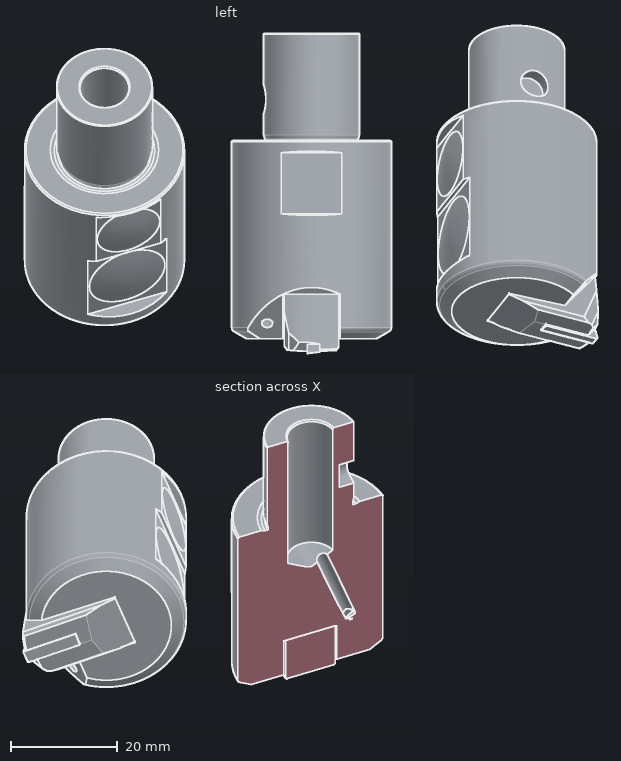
import cadquery as cq
import math


def tan_deg(angle):
    return math.tan(math.radians(angle))


HEAD_RADIUS = 15.0
HEAD_LENGTH = 37.2
HEAD_TOP_CHAMFER = 0.3
NOSE_RADIUS = 12.2
NOSE_ANGLE = 30.0
NOSE_FILLET = 1.0

SHANK_RADIUS = 9.0
SHANK_LENGTH = 20.0
SHANK_TOP_CHAMFER = 0.15

NECK_RADIUS = 8.8
NECK_TAPER_TOP = 1.05
NECK_TAPER_BOTTOM = 0.3
UNDERCUT_DEPTH = 0.3
UNDERCUT_FLOOR_RADIUS = 9.4
UNDERCUT_RIM_RADIUS = 10.15

BORE_RADIUS = 4.6
BORE_CHAMFER_WIDTH = 0.18
BORE_CHAMFER_DEPTH = 0.4
BORE_DEPTH = 30.0
DRILL_POINT_ANGLE = 31.0

DRIVE_HOLE_RADIUS = 2.75
DRIVE_HOLE_DEPTH = 3.0
DRIVE_HOLE_Z = 7.65

FLAT_WALL_SLOPE = 15.0
WRENCH_FLAT_X = 13.9
WRENCH_FLAT_TOP = -2.35
WRENCH_FLAT_BOTTOM = -13.8
DIAL_FLAT_X = 13.55
DIAL_FLAT_TOP = -1.1
DIAL_FLAT_BOTTOM = -15.1
CLAMP_FLAT_X = 12.8
CLAMP_FLAT_TOP = -15.25
CLAMP_FLAT_BOTTOM = -32.2

DIAL_HEAD_RADIUS = 6.2
DIAL_HEAD_HEIGHT = 0.95
CLAMP_HEAD_RADIUS = 7.5
CLAMP_HEAD_HEIGHT = 1.1
CLAMP_HEAD_Z = -23.55

CARTRIDGE_WIDTH = 10.28
SLOT_CLEARANCE = 0.28
SLOT_TOP = -28.9
SLOT_BACK_X = 3.75
RELIEF_TOP = -27.6
RELIEF_ANGLE = 52.0

CARTRIDGE_FACE_X = -14.65
CARTRIDGE_FACE_RADIUS = 15.0
CARTRIDGE_FACE_LEAN = 6.0
CARTRIDGE_BOTTOM_SLOPE = 2.6
CARTRIDGE_BACK_SLOPE = 15.0
CARTRIDGE_LOW_X = -15.75
CARTRIDGE_LOW_Z = -39.65
CARTRIDGE_SIDE_Z = -38.75
CARTRIDGE_SIDE_INSET = 0.55
CARTRIDGE_SIDE_DROP = 0.7
CARTRIDGE_TOE_CHAMFER = 0.35
BACK_SLOPE_X = -5.0
BACK_SLOPE_Z = -39.55

GULLET_EDGE = (-14.8, 4.26, -36.1)
GULLET_NORMAL = (-1.0, 0.69, -0.4)
GULLET_SIDE_NORMAL = (-0.66, 1.7, -0.26)
TIP_NOTCH_EDGE = (-15.41, 2.36, -37.85)
TIP_NOTCH_NORMAL = (-1.0, 0.1, -0.78)

INSERT_TIP_X = -16.06
INSERT_TIP_Z = -39.98
INSERT_RAKE_Y = 0.83
INSERT_THICKNESS = 2.38
INSERT_LENGTH = 10.5
INSERT_HEIGHT = 1.75
INSERT_LEAN = 14.0
INSERT_CLEARANCE_ANGLE = 7.0
INSERT_NOSE_RADIUS = 0.3

FEED_START = (-0.37, 2.43)
FEED_RADIUS = 1.15
OUTLET_RADIUS = 1.0
OUTLET_Y = 8.3
OUTLET_Z = -34.3
OUTLET_LENGTH = 11.0

OVERRUN = 1.0
OVERSIZE = 150.0


def half_space(point, normal):
    """Large block that fills the side of a plane its normal points to."""
    return cq.Workplane(cq.Plane(origin=point, normal=normal)).rect(OVERSIZE, OVERSIZE).extrude(OVERSIZE)


def drilling(start, direction, radius, length):
    return cq.Workplane(obj=cq.Solid.makeCylinder(radius, length, cq.Vector(*start), cq.Vector(*direction)))


def relief_x(z):
    """X of the sloping relief plane at height z."""
    return -HEAD_RADIUS + (RELIEF_TOP - z) / tan_deg(RELIEF_ANGLE)


def head_blank():
    cone_top = -HEAD_LENGTH + (HEAD_RADIUS - NOSE_RADIUS) * tan_deg(NOSE_ANGLE)
    blank = (
        cq.Workplane("XZ")
        .moveTo(0, SHANK_LENGTH)
        .lineTo(SHANK_RADIUS - SHANK_TOP_CHAMFER, SHANK_LENGTH)
        .lineTo(SHANK_RADIUS, SHANK_LENGTH - SHANK_TOP_CHAMFER)
        .lineTo(SHANK_RADIUS, NECK_TAPER_TOP)
        .lineTo(NECK_RADIUS, NECK_TAPER_BOTTOM)
        .lineTo(NECK_RADIUS, -UNDERCUT_DEPTH)
        .lineTo(UNDERCUT_FLOOR_RADIUS, -UNDERCUT_DEPTH)
        .lineTo(UNDERCUT_RIM_RADIUS, 0)
        .lineTo(HEAD_RADIUS - HEAD_TOP_CHAMFER, 0)
        .lineTo(HEAD_RADIUS, -HEAD_TOP_CHAMFER)
        .lineTo(HEAD_RADIUS, cone_top)
        .lineTo(NOSE_RADIUS, -HEAD_LENGTH)
        .lineTo(0, -HEAD_LENGTH)
        .close()
        .revolve(360, (0, 0, 0), (0, 1, 0))
    )
    cone_rim = cq.selectors.NearestToPointSelector((HEAD_RADIUS, 0, cone_top))
    return blank.edges("%CIRCLE").edges(cone_rim).fillet(NOSE_FILLET)


def bore_bottom_z(radius):
    """Height of the drill-point cone of the bore at a given distance from the axis."""
    return SHANK_LENGTH - BORE_DEPTH - (BORE_RADIUS - radius) * tan_deg(DRILL_POINT_ANGLE)


def bore():
    return (
        cq.Workplane("XZ")
        .moveTo(0, SHANK_LENGTH)
        .lineTo(BORE_RADIUS + BORE_CHAMFER_WIDTH, SHANK_LENGTH)
        .lineTo(BORE_RADIUS, SHANK_LENGTH - BORE_CHAMFER_DEPTH)
        .lineTo(BORE_RADIUS, bore_bottom_z(BORE_RADIUS))
        .lineTo(0, bore_bottom_z(0))
        .close()
        .revolve(360, (0, 0, 0), (0, 1, 0))
    )


def flat_cutter(side, floor_x, top, bottom):
    """Material above a flat; side is +1 or -1 along X, top and bottom are the ends of its floor."""
    outer_x = HEAD_RADIUS + OVERRUN
    flare = (outer_x - floor_x) * tan_deg(FLAT_WALL_SLOPE)
    return (
        cq.Workplane("XZ")
        .polyline([
            (side * floor_x, top),
            (side * outer_x, top + flare),
            (side * outer_x, bottom - flare),
            (side * floor_x, bottom),
        ])
        .close()
        .extrude(HEAD_RADIUS, both=True)
    )


def slot_cutter():
    half_width = CARTRIDGE_WIDTH / 2 + SLOT_CLEARANCE
    slot = cq.Workplane("XY").box(OVERSIZE, 2 * half_width, OVERSIZE, centered=(False, True, False))
    return slot.translate((SLOT_BACK_X - OVERSIZE, 0, SLOT_TOP - OVERSIZE))


def relief_cutter():
    """Sloping cut that opens the +Y side of the slot for chips."""
    slot_side_y = -(CARTRIDGE_WIDTH / 2 + SLOT_CLEARANCE)
    outer_x = -HEAD_RADIUS - OVERRUN
    low_z = -HEAD_LENGTH - OVERRUN
    high_z = RELIEF_TOP + OVERRUN * tan_deg(RELIEF_ANGLE)
    return (
        cq.Workplane("XZ", origin=(0, slot_side_y, 0))
        .polyline([(outer_x, high_z), (outer_x, low_z), (relief_x(low_z), low_z)])
        .close()
        .extrude(-OVERSIZE)
    )


def coolant_drillings():
    """Outlet drilled square into the relief plane, and a feed that joins it to the bore."""
    sine = math.sin(math.radians(RELIEF_ANGLE))
    cosine = math.cos(math.radians(RELIEF_ANGLE))
    outlet_start = (relief_x(OUTLET_Z) - OVERRUN * sine, OUTLET_Y, OUTLET_Z - OVERRUN * cosine)
    outlet = drilling(outlet_start, (sine, 0, cosine), OUTLET_RADIUS, OUTLET_LENGTH + OVERRUN)

    outlet_end = cq.Vector(
        relief_x(OUTLET_Z) + OUTLET_LENGTH * sine, OUTLET_Y, OUTLET_Z + OUTLET_LENGTH * cosine
    )
    feed_start = cq.Vector(*FEED_START, bore_bottom_z(math.hypot(*FEED_START)))
    run = feed_start - outlet_end
    feed = drilling(outlet_end.toTuple(), run.toTuple(), FEED_RADIUS, run.Length + FEED_RADIUS)
    return outlet.union(feed)


def head():
    drive_hole = drilling(
        (0, SHANK_RADIUS - DRIVE_HOLE_DEPTH, DRIVE_HOLE_Z), (0, 1, 0), DRIVE_HOLE_RADIUS, SHANK_RADIUS
    )
    return (
        head_blank()
        .cut(bore())
        .cut(drive_hole)
        .cut(flat_cutter(-1, WRENCH_FLAT_X, WRENCH_FLAT_TOP, WRENCH_FLAT_BOTTOM))
        .cut(flat_cutter(1, DIAL_FLAT_X, DIAL_FLAT_TOP, DIAL_FLAT_BOTTOM))
        .cut(flat_cutter(1, CLAMP_FLAT_X, CLAMP_FLAT_TOP, CLAMP_FLAT_BOTTOM))
        .cut(slot_cutter())
        .cut(relief_cutter())
        .cut(coolant_drillings())
    )


def domed_head(radius, height, seat_x, z):
    """Spherical cap on a flat, with its axis along X."""
    sphere_radius = (radius**2 + height**2) / (2 * height)
    half_radius = radius / 2
    mid_height = height - sphere_radius + math.sqrt(sphere_radius**2 - half_radius**2)
    return (
        cq.Workplane("XY")
        .moveTo(0, 0)
        .lineTo(0, -radius)
        .threePointArc((mid_height, -half_radius), (height, 0))
        .close()
        .revolve(360, (0, 0, 0), (1, 0, 0))
        .translate((seat_x, 0, z))
    )


def insert():
    """Cutting insert with its rake face towards +Y and a bottom that rises behind the cutting edge."""
    slope = tan_deg(CARTRIDGE_BOTTOM_SLOPE)
    rise = INSERT_LENGTH * slope
    lean = INSERT_HEIGHT * tan_deg(INSERT_LEAN)
    corners = [
        (0, 0),
        (INSERT_LENGTH, rise),
        (INSERT_LENGTH + lean, INSERT_HEIGHT + rise),
        (lean, INSERT_HEIGHT),
    ]
    blank = cq.Workplane("XZ").polyline(corners).close().extrude(INSERT_THICKNESS)
    nose_edge = cq.selectors.NearestToPointSelector((0, -INSERT_THICKNESS / 2, 0))
    rounded = blank.edges(nose_edge).fillet(INSERT_NOSE_RADIUS)
    relieved = rounded.cut(half_space((0, 0, 0), (slope, -tan_deg(INSERT_CLEARANCE_ANGLE), -1)))
    box = relieved.val().BoundingBox()
    return relieved.translate((INSERT_TIP_X - box.xmin, INSERT_RAKE_Y, INSERT_TIP_Z - box.zmin))


def cartridge_section():
    """Bar with the bottom profile of the cartridge, running along the bottom slope."""
    half_width = CARTRIDGE_WIDTH / 2
    shoulder_y = half_width - CARTRIDGE_SIDE_INSET
    shoulder_z = CARTRIDGE_SIDE_Z - CARTRIDGE_SIDE_DROP
    run = SLOT_BACK_X - 2 * CARTRIDGE_LOW_X
    bar = (
        cq.Workplane("YZ")
        .polyline([
            (half_width, SLOT_TOP + HEAD_LENGTH),
            (half_width, CARTRIDGE_SIDE_Z),
            (shoulder_y, shoulder_z),
            (INSERT_RAKE_Y, CARTRIDGE_LOW_Z),
            (-shoulder_y, shoulder_z),
            (-half_width, CARTRIDGE_SIDE_Z),
            (-half_width, SLOT_TOP + HEAD_LENGTH),
        ])
        .close()
        .extrude(run, both=True)
    )
    pivot = (CARTRIDGE_LOW_X, 0, CARTRIDGE_LOW_Z)
    pivot_end = (CARTRIDGE_LOW_X, 1, CARTRIDGE_LOW_Z)
    return bar.translate((CARTRIDGE_LOW_X, 0, 0)).rotate(pivot, pivot_end, -CARTRIDGE_BOTTOM_SLOPE)


def cartridge_face():
    """Leaning cylinder that bounds the outer face of the cartridge."""
    axis_x = CARTRIDGE_FACE_X + CARTRIDGE_FACE_RADIUS
    post = cq.Workplane("XY").circle(CARTRIDGE_FACE_RADIUS).extrude(HEAD_LENGTH, both=True)
    post = post.translate((axis_x, 0, SLOT_TOP))
    pivot = (CARTRIDGE_FACE_X, 0, SLOT_TOP)
    pivot_end = (CARTRIDGE_FACE_X, 1, SLOT_TOP)
    return post.rotate(pivot, pivot_end, CARTRIDGE_FACE_LEAN)


def tip_notch():
    """Notch that bares the corner of the insert, from its back face to the +Y side."""
    beside_insert = half_space((0, INSERT_RAKE_Y - INSERT_THICKNESS, 0), (0, 1, 0))
    return half_space(TIP_NOTCH_EDGE, TIP_NOTCH_NORMAL).intersect(beside_insert)


def cartridge_blank():
    """Cartridge bar with its leaning face and a chamfered toe where the face meets the bottom."""
    blank = cartridge_section().intersect(cartridge_face())
    quarter_width = CARTRIDGE_WIDTH / 4
    toe_edges = [
        blank.edges(cq.selectors.NearestToPointSelector((CARTRIDGE_LOW_X, y, CARTRIDGE_LOW_Z))).val()
        for y in (-quarter_width, quarter_width)
    ]
    return blank.newObject(toe_edges).chamfer(CARTRIDGE_TOE_CHAMFER)


def cartridge(seated_insert):
    back_angle = math.radians(CARTRIDGE_BACK_SLOPE)
    return (
        cartridge_blank()
        .cut(half_space((0, 0, SLOT_TOP), (0, 0, 1)))
        .cut(half_space((SLOT_BACK_X, 0, 0), (1, 0, 0)))
        .cut(half_space((BACK_SLOPE_X, 0, BACK_SLOPE_Z), (math.sin(back_angle), 0, -math.cos(back_angle))))
        .cut(half_space(GULLET_EDGE, GULLET_NORMAL))
        .cut(half_space(GULLET_EDGE, GULLET_SIDE_NORMAL))
        .cut(tip_notch())
        .cut(seated_insert)
    )


head_body = head()
dial_z = (DIAL_FLAT_TOP + DIAL_FLAT_BOTTOM) / 2
dial_screw = domed_head(DIAL_HEAD_RADIUS, DIAL_HEAD_HEIGHT, DIAL_FLAT_X, dial_z)
clamp_screw = domed_head(CLAMP_HEAD_RADIUS, CLAMP_HEAD_HEIGHT, CLAMP_FLAT_X, CLAMP_HEAD_Z)
insert_body = insert()
cartridge_body = cartridge(insert_body)

bodies = [head_body, dial_screw, clamp_screw, cartridge_body, insert_body]

result = cq.Compound.makeCompound([body.solids().val() for body in bodies])